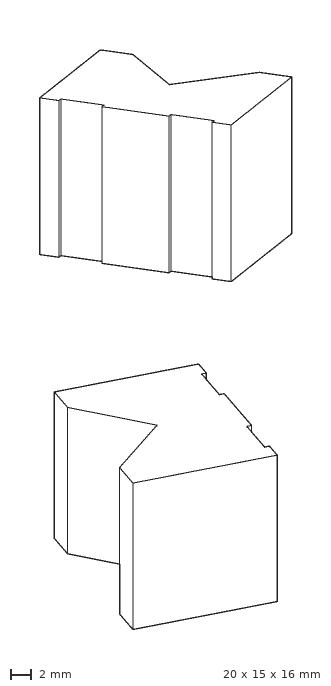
import cadquery as cq

width = 20.0
depth = 15.0
height = 16.0

notch_depth = 6.6

groove_width = 4.5
groove_depth = 0.5
side_land = 2.0

front_y = -depth / 2
back_y = depth / 2
groove_center_x = width / 2 - side_land - groove_width / 2


def make_notch():
    """Triangular prism with its tip pointing toward -Y."""
    return (
        cq.Workplane("XY")
        .moveTo(-notch_depth, back_y)
        .lineTo(0, back_y - notch_depth)
        .lineTo(notch_depth, back_y)
        .close()
        .extrude(height)
    )


def make_groove(center_x):
    """Full-height rectangular groove cut inward from the -Y face."""
    return (
        cq.Workplane("XY")
        .center(center_x, front_y + groove_depth / 2)
        .rect(groove_width, groove_depth)
        .extrude(height)
    )


result = cq.Workplane("XY").rect(width, depth).extrude(height)
result = result.cut(make_notch())
for side in (-1, 1):
    result = result.cut(make_groove(side * groove_center_x))